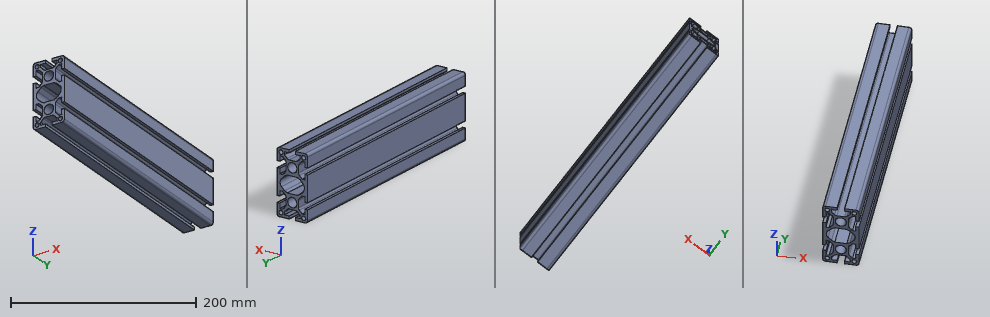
import cadquery as cq
import math

width = 40.0
height = 80.0
length = 300.0
corner_radius = 3.3

half_cell = width / 2
bore_offset = height / 2 - half_cell
bore_diameter = 12.0

corner_hole_diameter = 5.0
corner_hole_inset = 5.0

slot_mouth = 8.0
slot_inner_width = 20.7
slot_depth = 11.7
lip_thickness = 3.5
web_thickness = 3.5
slot_floor_fillet = 3.5

void_height = 20.7
void_width = 31.8
void_flat_width = 13.2
void_shoulder_width = 20.0
void_shoulder_height = 17.0

cut_clearance = 3.0


def extrusion(sketch):
    """Extrude a profile drawn in the XZ plane over the whole length, centred on Y."""
    return sketch.extrude(length / 2, both=True)


def make_body():
    block = extrusion(cq.Workplane("XZ").rect(width, height))
    return block.edges("|Y").fillet(corner_radius)


def make_slot():
    """T-slot of a cell centred on the origin, opening toward +Z."""
    floor_z = half_cell - slot_depth
    lip_z = half_cell - lip_thickness
    web_rise = web_thickness / math.sqrt(2)
    inner_half = slot_inner_width / 2
    mouth_half = slot_mouth / 2
    right_side = [
        (floor_z - web_rise, floor_z),
        (inner_half, inner_half + web_rise),
        (inner_half, lip_z),
        (mouth_half, lip_z),
        (mouth_half, half_cell + cut_clearance),
    ]
    left_side = [(-x, z) for x, z in reversed(right_side)]
    slot = extrusion(cq.Workplane("XZ").polyline(right_side + left_side).close())
    return slot.faces("<Z").edges("|Y").fillet(slot_floor_fillet)


def make_void():
    """Central void, with its rounded ends tangent to the 45 degree slopes."""
    top = void_height / 2
    flat_half = void_flat_width / 2
    shoulder_x = void_shoulder_width / 2
    shoulder_z = void_shoulder_height / 2
    end_x = void_width / 2
    slope_apex_x = shoulder_x + shoulder_z
    end_radius = (slope_apex_x - end_x) / (math.sqrt(2) - 1)
    tangent_z = end_radius / math.sqrt(2)
    tangent_x = slope_apex_x - tangent_z
    return extrusion(
        cq.Workplane("XZ")
        .moveTo(-flat_half, top)
        .lineTo(flat_half, top)
        .lineTo(shoulder_x, shoulder_z)
        .lineTo(tangent_x, tangent_z)
        .threePointArc((end_x, 0), (tangent_x, -tangent_z))
        .lineTo(shoulder_x, -shoulder_z)
        .lineTo(flat_half, -top)
        .lineTo(-flat_half, -top)
        .lineTo(-shoulder_x, -shoulder_z)
        .lineTo(-tangent_x, -tangent_z)
        .threePointArc((-end_x, 0), (-tangent_x, tangent_z))
        .lineTo(-shoulder_x, shoulder_z)
        .close()
    )


def make_bores():
    centres = [(0, bore_offset), (0, -bore_offset)]
    return extrusion(cq.Workplane("XZ").pushPoints(centres).circle(bore_diameter / 2))


def make_corner_holes():
    spacing_x = width - 2 * corner_hole_inset
    spacing_z = height - 2 * corner_hole_inset
    return extrusion(
        cq.Workplane("XZ").rect(spacing_x, spacing_z, forConstruction=True).vertices()
        .circle(corner_hole_diameter / 2)
    )


def make_cell_slots():
    """Top, right and left slots of the upper cell, placed on the body."""
    slot = make_slot()
    slots = [slot.rotate((0, 0, 0), (0, 1, 0), angle) for angle in (0, 90, -90)]
    return [placed.translate((0, 0, bore_offset)) for placed in slots]


result = make_body().cut(make_void()).cut(make_bores()).cut(make_corner_holes())
for upper_slot in make_cell_slots():
    lower_slot = upper_slot.mirror("XY")
    result = result.cut(upper_slot).cut(lower_slot)